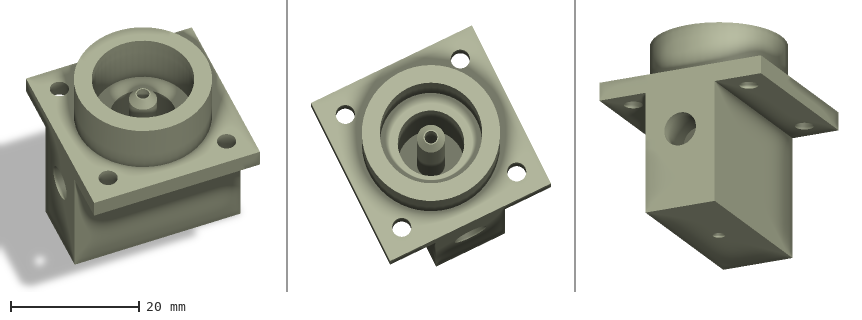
import cadquery as cq

side = 28.0
body_width = 12.0
flange_bottom = 20.0
flange_thickness = 3.0
flange_top = flange_bottom + flange_thickness
bolt_spacing = 20.0
bolt_diameter = 3.0

total_height = 31.5
collar_diameter = 21.6
collar_bore = 16.0

socket_diameter = 10.4
socket_floor = 6.02
pin_diameter = 4.4
pin_top = 28.05
pin_cone_height = 1.25
pin_tip_diameter = 2.33
pin_hole_diameter = 2.0

entry_height = 13.0
entry_diameter = 5.48
entry_depth = 7.0
neck_diameter = 3.0
neck_depth = side / 2


def vertical_cylinder(diameter, bottom, top):
    return cq.Workplane("XY").workplane(offset=bottom).circle(diameter / 2).extrude(top - bottom)


def entry_cylinder(diameter, depth):
    """Cylinder running into the body from its -Y face."""
    face = cq.Workplane("XZ", origin=(0, -side / 2, entry_height))
    return face.circle(diameter / 2).extrude(-depth)


def make_housing():
    body = cq.Workplane("XY").box(body_width, side, flange_bottom, centered=(True, True, False))
    flange = (
        cq.Workplane("XY")
        .workplane(offset=flange_bottom)
        .rect(side, side)
        .extrude(flange_thickness)
    )
    bolt_holes = (
        cq.Workplane("XY")
        .workplane(offset=flange_bottom)
        .rect(bolt_spacing, bolt_spacing, forConstruction=True)
        .vertices()
        .circle(bolt_diameter / 2)
        .extrude(flange_thickness)
    )
    collar = vertical_cylinder(collar_diameter, flange_top, total_height)
    bore = vertical_cylinder(collar_bore, flange_top, total_height)
    socket = vertical_cylinder(socket_diameter, socket_floor, flange_top)
    return body.union(flange).cut(bolt_holes).union(collar).cut(bore).cut(socket)


def make_pin():
    """Pin rising from the socket floor and ending in a blunt cone."""
    cone_bottom = pin_top - pin_cone_height
    profile = [
        (0, socket_floor),
        (pin_diameter / 2, socket_floor),
        (pin_diameter / 2, cone_bottom),
        (pin_tip_diameter / 2, pin_top),
        (0, pin_top),
    ]
    return cq.Workplane("XZ").polyline(profile).close().revolve(360, (0, 0), (0, 1))


result = (
    make_housing()
    .cut(entry_cylinder(entry_diameter, entry_depth))
    .cut(entry_cylinder(neck_diameter, neck_depth))
    .union(make_pin())
    .cut(vertical_cylinder(pin_hole_diameter, 0, pin_top))
)